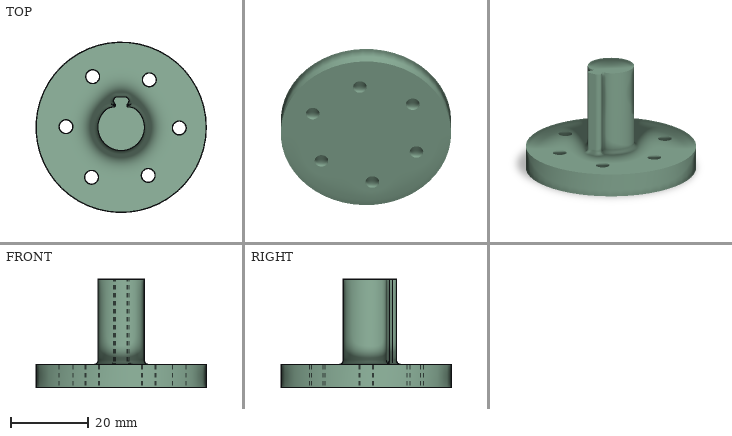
import cadquery as cq
import math


FLANGE_DIAMETER = 44.0
FLANGE_THICKNESS = 6.0

HOLE_DIAMETER = 3.5
HOLE_COUNT = 6
HOLE_PITCH_RADII = (15.0, 14.25)
HOLE_START_ANGLE = -0.65

SHAFT_RADIUS = 6.0
TOTAL_HEIGHT = 28.0
SHAFT_HEIGHT = TOTAL_HEIGHT - FLANGE_THICKNESS
BASE_FILLET = 1.0

FOOT_REACH = 10.0
FOOT_TOLERANCE = 0.1

KEY_HALF_WIDTH = 2.0
KEY_TIP_Y = 7.83
KEY_CORNER_RADIUS = 1.0
KEY_CORNER_Y = KEY_TIP_Y - KEY_CORNER_RADIUS
KEY_FLAT_HALF_WIDTH = KEY_HALF_WIDTH - KEY_CORNER_RADIUS

SHOULDER_ANGLE = math.radians(46.0)
SHOULDER_RADIUS = 3.25
SHOULDER_OFFSET = SHAFT_RADIUS - SHOULDER_RADIUS
SHOULDER_X = SHOULDER_OFFSET * math.cos(SHOULDER_ANGLE)
SHOULDER_Y = SHOULDER_OFFSET * math.sin(SHOULDER_ANGLE)
SHOULDER_TOP_Y = SHOULDER_Y + SHOULDER_RADIUS

RELIEF_RADIUS = 0.43
RELIEF_Y = SHOULDER_TOP_Y + RELIEF_RADIUS
RELIEF_END_ANGLE = math.radians(59.5)


def on_arc(center_x, center_y, radius, angle):
    """Point on a circle at an angle measured from the X axis."""
    return center_x + radius * math.cos(angle), center_y + radius * math.sin(angle)


def mirrored(point):
    """Point reflected across the YZ plane."""
    return -point[0], point[1]


SHAFT_BOTTOM = (0.0, -SHAFT_RADIUS)
SHOULDER_START = on_arc(0.0, 0.0, SHAFT_RADIUS, SHOULDER_ANGLE)
SHOULDER_MIDDLE = on_arc(SHOULDER_X, SHOULDER_Y, SHOULDER_RADIUS, (SHOULDER_ANGLE + math.pi / 2) / 2)
SHOULDER_TOP = (SHOULDER_X, SHOULDER_TOP_Y)
RELIEF_INNER = (SHOULDER_X - RELIEF_RADIUS, RELIEF_Y)
RELIEF_END = on_arc(SHOULDER_X, RELIEF_Y, RELIEF_RADIUS, math.pi - RELIEF_END_ANGLE)
KEY_SIDE = (KEY_HALF_WIDTH, KEY_CORNER_Y)
KEY_CORNER_MIDDLE = on_arc(KEY_FLAT_HALF_WIDTH, KEY_CORNER_Y, KEY_CORNER_RADIUS, math.pi / 4)
KEY_ROOT = (0.0, RELIEF_END[1] - RELIEF_END[0] / math.tan(RELIEF_END_ANGLE))
KEY_TIP = (KEY_FLAT_HALF_WIDTH, KEY_TIP_Y)


def plane_on_flange():
    return cq.Workplane("XY").workplane(offset=FLANGE_THICKNESS)


def make_flange():
    return cq.Workplane("XY").circle(FLANGE_DIAMETER / 2).extrude(FLANGE_THICKNESS)


def make_core():
    """Shaft without its key: the round body and the two dipping shoulders."""
    return (
        plane_on_flange()
        .moveTo(*SHOULDER_START)
        .threePointArc(SHOULDER_MIDDLE, SHOULDER_TOP)
        .lineTo(*mirrored(SHOULDER_TOP))
        .threePointArc(mirrored(SHOULDER_MIDDLE), mirrored(SHOULDER_START))
        .threePointArc(SHAFT_BOTTOM, SHOULDER_START)
        .close()
        .extrude(SHAFT_HEIGHT)
    )


def make_key():
    """Rounded key head on a neck that narrows into the relief grooves."""
    return (
        plane_on_flange()
        .moveTo(*SHOULDER_TOP)
        .threePointArc(RELIEF_INNER, RELIEF_END)
        .lineTo(*KEY_SIDE)
        .threePointArc(KEY_CORNER_MIDDLE, KEY_TIP)
        .lineTo(*mirrored(KEY_TIP))
        .threePointArc(mirrored(KEY_CORNER_MIDDLE), mirrored(KEY_SIDE))
        .lineTo(*mirrored(RELIEF_END))
        .threePointArc(mirrored(RELIEF_INNER), mirrored(SHOULDER_TOP))
        .close()
        .extrude(SHAFT_HEIGHT)
    )


def make_half_key_root():
    """The +X half of the key's head and neck, closing to a point inside the shaft."""
    return (
        plane_on_flange()
        .moveTo(*KEY_ROOT)
        .lineTo(*RELIEF_END)
        .lineTo(*KEY_SIDE)
        .threePointArc(KEY_CORNER_MIDDLE, KEY_TIP)
        .lineTo(0.0, KEY_TIP_Y)
        .close()
        .extrude(SHAFT_HEIGHT)
    )


def on_flange(column):
    """Column standing on the flange with a rounded foot."""
    foot = cq.selectors.BoxSelector(
        (-FOOT_REACH, -FOOT_REACH, FLANGE_THICKNESS - FOOT_TOLERANCE),
        (FOOT_REACH, FOOT_REACH, FLANGE_THICKNESS + FOOT_TOLERANCE),
        boundingbox=True,
    )
    return make_flange().union(column).edges(foot).fillet(BASE_FILLET)


def make_holes():
    """Mounting-hole cutters running through the flange."""
    holes = cq.Workplane("XY")
    for index in range(HOLE_COUNT):
        pitch_radius = HOLE_PITCH_RADII[index % len(HOLE_PITCH_RADII)]
        angle = math.radians(HOLE_START_ANGLE + index * 360.0 / HOLE_COUNT)
        center = on_arc(0.0, 0.0, pitch_radius, angle)
        holes = holes.union(
            cq.Workplane("XY").center(*center).circle(HOLE_DIAMETER / 2).extrude(FLANGE_THICKNESS)
        )
    return holes


rounded_shaft = on_flange(make_core())
rounded_half_key = on_flange(make_half_key_root())
rounded_key = rounded_half_key.union(rounded_half_key.mirror("YZ"))
result = rounded_shaft.union(rounded_key).union(make_key()).cut(make_holes())